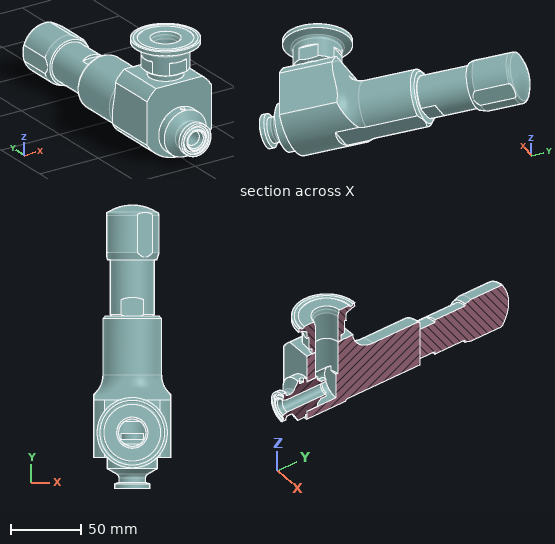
import cadquery as cq
import math


BLOCK_WIDTH = 55.0
BLOCK_TOP = 37.0
BLOCK_LENGTH = 41.1
BLOCK_ROUND_RADIUS = 32.5
BLOCK_BOTTOM = -20.9
BARREL_RADIUS = 21.0
BARREL_END = 101.2
BARREL_CHAMFER = 2.0
BARREL_FLARE_RADIUS = 17.8
BOTTOM_FLAT = -19.2
BOTTOM_FLAT_START = 36.0
CHAMBER_RADIUS = 13.2
CHAMBER_DEPTH = 26.0
OUTLET_HOLE_BOTTOM = 8.0

OUTLET_Y = 17.8
OUTLET_TOP = 65.5
OUTLET_FLANGE_RADIUS = 25.1
OUTLET_FLANGE_EDGE = 3.2
OUTLET_TAPER_ANGLE = math.radians(70)
OUTLET_FILLET_RADIUS = 2.2
OUTLET_BODY_RADIUS = 17.6
OUTLET_CHAMFER_TOP = 43.3
OUTLET_CHAMFER_BOTTOM = 41.3
OUTLET_CHAMFER_RADIUS = 13.8
OUTLET_NECK_RADIUS = 13.2
OUTLET_FLAT_DISTANCE = 16.0
OUTLET_FLAT_TOP = 52.9
OUTLET_GROOVE_RADIUS = 21.7
OUTLET_GROOVE_ROUND = 1.5
OUTLET_BORE_RADIUS = 9.7
OUTLET_MOUTH_RADIUS = 11.1
OUTLET_MOUTH_INNER_RADIUS = 10.5
OUTLET_MOUTH_DEPTH = 2.5
OUTLET_MOUTH_TAPER_END = 5.3

INLET_LENGTH = 22.0
INLET_FLANGE_RADIUS = 12.5
INLET_FLANGE_EDGE = 3.5
INLET_FLANGE_TAPER = 1.0
INLET_TUBE_RADIUS = 9.5
INLET_TUBE_START = 14.5
INLET_FILLET_RADIUS = 3.2
INLET_CONE_ANGLE = math.radians(60)
INLET_COLLAR_RADIUS = 18.0
INLET_GAP = 0.6
INLET_GAP_RADIUS = 16.6
INLET_GROOVE_OUTER_RADIUS = 11.0
INLET_GROOVE_FLOOR_RADIUS = 9.5
INLET_GROOVE_INNER_RADIUS = 8.0
INLET_GROOVE_DEPTH = 1.5
INLET_MOUTH_RADIUS = 7.5
INLET_MOUTH_INNER_RADIUS = 6.7
INLET_MOUTH_DEPTH = 1.0
INLET_BORE_RADIUS = 5.5
INLET_MOUTH_TAPER_END = 4.5
NOZZLE_TIP_BORE_RADIUS = 4.9
NOZZLE_TIP_BORE_TAPER = 1.0
NOZZLE_RADIUS = 7.9
NOZZLE_END = 17.5
NOZZLE_FLARE_TOP = 13.0
NOZZLE_FLARE = 3.0
SPANNER_HOLE_RADIUS = 1.6
SPANNER_HOLE_DEPTH = 3.0
SPANNER_HOLE_Y = -4.5

SLEEVE_RADIUS = 15.8
SLEEVE_START = 102.0
SLEEVE_NECK_RADIUS = 14.8
SLEEVE_FLAT_DISTANCE = 13.5
SLEEVE_FLAT_END = 114.5
SLEEVE_FLAT_END_RADIUS = 20.2
GRIP_RADIUS = 19.2
GRIP_START = 141.1
GRIP_START_RADIUS = 17.6
GRIP_TAPER_END = 146.5
GRIP_SHOULDER = 173.0
DOME_EDGE = 175.4
DOME_RADIUS = 17.5
OVERALL_LENGTH = 202.5
DOME_TIP = OVERALL_LENGTH - INLET_LENGTH
GRIP_FLAT_DISTANCE = 18.2
GRIP_FLAT_COUNT = 3


def turned_about_y(profile):
    """Revolve a closed (radius, Y) profile drawn in the XY plane about the Y axis."""
    return profile.close().revolve(360, (0, 0, 0), (0, 1, 0))


def fillet_point(start_radius, start, fillet_radius, angle):
    """Point on a concave fillet that turns outward from a cylinder by the given angle."""
    return (
        start_radius + fillet_radius * (1 - math.cos(angle)),
        start + fillet_radius * math.sin(angle),
    )


def outlet_hole(bottom, top):
    """Vertical cylinder of the outlet bore between two heights."""
    return (
        cq.Workplane("XY", origin=(0, OUTLET_Y, bottom))
        .circle(OUTLET_BORE_RADIUS)
        .extrude(top - bottom)
    )


def block_section(length):
    """Round bar with flat top and sides, extruded along +Y from the front face."""
    centre_z = BLOCK_BOTTOM + BLOCK_ROUND_RADIUS
    bar = (
        cq.Workplane("XZ", origin=(0, 0, centre_z))
        .circle(BLOCK_ROUND_RADIUS)
        .extrude(-length)
    )
    flats = cq.Workplane("XY").box(
        BLOCK_WIDTH, length, BLOCK_TOP - BLOCK_BOTTOM, centered=(True, False, False)
    ).translate((0, 0, BLOCK_BOTTOM))
    return bar.intersect(flats)


def make_housing():
    flare_end = BLOCK_LENGTH + BARREL_FLARE_RADIUS
    flare_outer = BARREL_RADIUS + BARREL_FLARE_RADIUS
    arc_inset = BARREL_FLARE_RADIUS * (1 - math.sqrt(0.5))
    flare = turned_about_y(
        cq.Workplane("XY")
        .moveTo(0, BLOCK_LENGTH)
        .lineTo(flare_outer, BLOCK_LENGTH)
        .threePointArc((BARREL_RADIUS + arc_inset, BLOCK_LENGTH + arc_inset), (BARREL_RADIUS, flare_end))
        .lineTo(0, flare_end)
    ).intersect(block_section(flare_end))
    barrel = turned_about_y(
        cq.Workplane("XY")
        .moveTo(0, BLOCK_LENGTH)
        .lineTo(BARREL_RADIUS, BLOCK_LENGTH)
        .lineTo(BARREL_RADIUS, BARREL_END - BARREL_CHAMFER)
        .lineTo(BARREL_RADIUS - BARREL_CHAMFER, BARREL_END)
        .lineTo(0, BARREL_END)
    )
    housing = block_section(BLOCK_LENGTH).union(flare).union(barrel)

    cut_depth = -BOTTOM_FLAT
    bottom_flat = (
        cq.Workplane("YZ")
        .moveTo(BOTTOM_FLAT_START, BOTTOM_FLAT)
        .lineTo(BARREL_END, BOTTOM_FLAT)
        .lineTo(BARREL_END, BOTTOM_FLAT - cut_depth)
        .lineTo(BOTTOM_FLAT_START - cut_depth, BOTTOM_FLAT - cut_depth)
        .close()
        .extrude(BLOCK_WIDTH, both=True)
    )
    chamber = cq.Workplane("XZ").circle(CHAMBER_RADIUS).extrude(-CHAMBER_DEPTH)
    return housing.cut(bottom_flat).cut(chamber).cut(outlet_hole(OUTLET_HOLE_BOTTOM, BLOCK_TOP))


def make_outlet():
    edge_bottom = OUTLET_TOP - OUTLET_FLANGE_EDGE
    taper_start_r, fillet_height = fillet_point(
        OUTLET_BODY_RADIUS, 0, OUTLET_FILLET_RADIUS, OUTLET_TAPER_ANGLE
    )
    taper_start_z = edge_bottom - (OUTLET_FLANGE_RADIUS - taper_start_r) / math.tan(OUTLET_TAPER_ANGLE)
    fitting = (
        cq.Workplane("XZ")
        .moveTo(0, BLOCK_TOP)
        .lineTo(OUTLET_NECK_RADIUS, BLOCK_TOP)
        .lineTo(OUTLET_NECK_RADIUS, OUTLET_CHAMFER_BOTTOM)
        .lineTo(OUTLET_CHAMFER_RADIUS, OUTLET_CHAMFER_BOTTOM)
        .lineTo(OUTLET_BODY_RADIUS, OUTLET_CHAMFER_TOP)
        .lineTo(OUTLET_BODY_RADIUS, taper_start_z - fillet_height)
        .tangentArcPoint((taper_start_r, taper_start_z), relative=False)
        .lineTo(OUTLET_FLANGE_RADIUS, edge_bottom)
        .lineTo(OUTLET_FLANGE_RADIUS, OUTLET_TOP)
        .lineTo(0, OUTLET_TOP)
        .close()
        .revolve(360, (0, 0, 0), (0, 1, 0))
    )
    flat_height = OUTLET_FLAT_TOP - BLOCK_TOP
    outside = 2 * OUTLET_FLANGE_RADIUS
    across_flats = 2 * OUTLET_FLAT_DISTANCE
    flats = (
        cq.Workplane("XY", origin=(0, 0, BLOCK_TOP))
        .rect(outside, outside)
        .rect(across_flats, across_flats)
        .extrude(flat_height)
    )
    groove = (
        cq.Workplane("XZ")
        .moveTo(OUTLET_GROOVE_RADIUS, OUTLET_TOP)
        .circle(OUTLET_GROOVE_ROUND)
        .revolve(360, (0, 0, 0), (0, 1, 0))
    )
    mouth = (
        cq.Workplane("XZ")
        .moveTo(0, OUTLET_TOP)
        .lineTo(OUTLET_MOUTH_RADIUS, OUTLET_TOP)
        .lineTo(OUTLET_MOUTH_INNER_RADIUS, OUTLET_TOP - OUTLET_MOUTH_DEPTH)
        .lineTo(OUTLET_BORE_RADIUS, OUTLET_TOP - OUTLET_MOUTH_TAPER_END)
        .lineTo(0, OUTLET_TOP - OUTLET_MOUTH_TAPER_END)
        .close()
        .revolve(360, (0, 0, 0), (0, 1, 0))
    )
    fitting = fitting.cut(flats).cut(groove).cut(mouth).translate((0, OUTLET_Y, 0))
    return fitting.cut(outlet_hole(BLOCK_TOP, OUTLET_TOP))


def make_inlet():
    flange_back = INLET_FLANGE_EDGE - INLET_LENGTH
    cone_start_r, cone_start_y = fillet_point(
        INLET_TUBE_RADIUS, -INLET_TUBE_START, INLET_FILLET_RADIUS, INLET_CONE_ANGLE
    )
    cone_end_y = cone_start_y + (INLET_COLLAR_RADIUS - cone_start_r) / math.tan(INLET_CONE_ANGLE)
    nozzle_shoulder = NOZZLE_FLARE_TOP - NOZZLE_FLARE
    fitting = turned_about_y(
        cq.Workplane("XY")
        .moveTo(0, -INLET_LENGTH)
        .lineTo(INLET_FLANGE_RADIUS, -INLET_LENGTH)
        .lineTo(INLET_FLANGE_RADIUS, flange_back)
        .lineTo(INLET_TUBE_RADIUS, flange_back + INLET_FLANGE_TAPER)
        .lineTo(INLET_TUBE_RADIUS, -INLET_TUBE_START)
        .tangentArcPoint((cone_start_r, cone_start_y), relative=False)
        .lineTo(INLET_COLLAR_RADIUS, cone_end_y)
        .lineTo(INLET_COLLAR_RADIUS, -INLET_GAP)
        .lineTo(INLET_GAP_RADIUS, -INLET_GAP)
        .lineTo(INLET_GAP_RADIUS, 0)
        .lineTo(CHAMBER_RADIUS, 0)
        .lineTo(CHAMBER_RADIUS, nozzle_shoulder)
        .lineTo(NOZZLE_RADIUS + NOZZLE_FLARE, nozzle_shoulder)
        .lineTo(NOZZLE_RADIUS, NOZZLE_FLARE_TOP)
        .lineTo(NOZZLE_RADIUS, NOZZLE_END)
        .lineTo(0, NOZZLE_END)
    )
    bore = turned_about_y(
        cq.Workplane("XY")
        .moveTo(0, -INLET_LENGTH)
        .lineTo(INLET_MOUTH_RADIUS, -INLET_LENGTH)
        .lineTo(INLET_MOUTH_INNER_RADIUS, INLET_MOUTH_DEPTH - INLET_LENGTH)
        .lineTo(INLET_BORE_RADIUS, INLET_MOUTH_TAPER_END - INLET_LENGTH)
        .lineTo(INLET_BORE_RADIUS, NOZZLE_END - NOZZLE_TIP_BORE_TAPER)
        .lineTo(NOZZLE_TIP_BORE_RADIUS, NOZZLE_END)
        .lineTo(0, NOZZLE_END)
    )
    groove_floor = INLET_GROOVE_DEPTH - INLET_LENGTH
    groove = turned_about_y(
        cq.Workplane("XY")
        .moveTo(INLET_GROOVE_OUTER_RADIUS, -INLET_LENGTH)
        .lineTo(INLET_GROOVE_OUTER_RADIUS, groove_floor)
        .lineTo(INLET_GROOVE_FLOOR_RADIUS, groove_floor)
        .lineTo(INLET_GROOVE_INNER_RADIUS, -INLET_LENGTH)
    )
    spanner_hole = (
        cq.Workplane("XY", origin=(0, SPANNER_HOLE_Y, INLET_COLLAR_RADIUS - SPANNER_HOLE_DEPTH))
        .circle(SPANNER_HOLE_RADIUS)
        .extrude(INLET_COLLAR_RADIUS)
    )
    return fitting.cut(bore).cut(groove).cut(spanner_hole)


def sleeve_flat(side):
    """Cutter for one wrench flat, above (+1) or below (-1) the axis, with a round end."""
    height = SLEEVE_RADIUS - SLEEVE_FLAT_DISTANCE
    centre_y = SLEEVE_FLAT_END - SLEEVE_FLAT_END_RADIUS
    base = SLEEVE_FLAT_DISTANCE if side > 0 else -SLEEVE_RADIUS
    return (
        cq.Workplane("XY", origin=(0, centre_y, base))
        .circle(SLEEVE_FLAT_END_RADIUS)
        .extrude(height)
    )


def make_bonnet():
    dome_sag = DOME_TIP - DOME_EDGE
    dome_sphere = (DOME_RADIUS**2 + dome_sag**2) / (2 * dome_sag)
    dome_mid_r = DOME_RADIUS / 2
    dome_mid_y = DOME_TIP - dome_sphere + math.sqrt(dome_sphere**2 - dome_mid_r**2)
    bonnet = turned_about_y(
        cq.Workplane("XY")
        .moveTo(0, BARREL_END)
        .lineTo(SLEEVE_NECK_RADIUS, BARREL_END)
        .lineTo(SLEEVE_RADIUS, SLEEVE_START)
        .lineTo(SLEEVE_RADIUS, GRIP_START)
        .lineTo(GRIP_START_RADIUS, GRIP_START)
        .lineTo(GRIP_RADIUS, GRIP_TAPER_END)
        .lineTo(GRIP_RADIUS, GRIP_SHOULDER)
        .tangentArcPoint((DOME_RADIUS, DOME_EDGE), relative=False)
        .threePointArc((dome_mid_r, dome_mid_y), (0, DOME_TIP))
    )
    for side in (1, -1):
        bonnet = bonnet.cut(sleeve_flat(side))

    grip_length = DOME_TIP - GRIP_START
    flat_cutter = cq.Workplane("XY").box(
        GRIP_RADIUS, grip_length, 2 * GRIP_RADIUS, centered=(False, False, True)
    ).translate((-GRIP_FLAT_DISTANCE - GRIP_RADIUS, GRIP_START, 0))
    for index in range(GRIP_FLAT_COUNT):
        angle = index * 360 / GRIP_FLAT_COUNT
        bonnet = bonnet.cut(flat_cutter.rotate((0, 0, 0), (0, 1, 0), angle))
    return bonnet


housing = make_housing()
outlet = make_outlet()
inlet = make_inlet()
bonnet = make_bonnet()

result = cq.Compound.makeCompound([housing.val(), outlet.val(), inlet.val(), bonnet.val()])